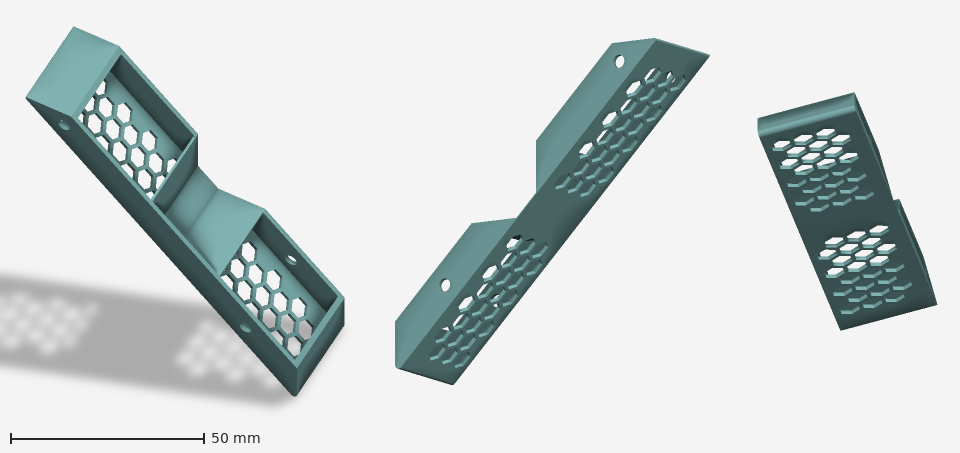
import cadquery as cq
import math

length = 79.85
width = 26.0
height = 79.0

top_face_length = 13.5
top_tip_radius = 0.4
bottom_tip_radius = 1.0

wall = 1.3
floor_thickness = 1.0
bay_floor_thickness = 0.2
partition = 0.7
partition_x = 36.7
shelf_end_x = 56.5

pin_diameter = 3.4
first_pin_depth = 5.0
pin_step = 53.35
first_pin_x = 11.4

cell_pitch = 6.0
cell_flats = 4.95
cell_columns = 3
row_count = 19
solid_rows = (8, 9, 10)
first_row_depth = 7.6
even_row_y = -8.55
odd_row_y = -5.5

root2 = math.sqrt(2)
upper_plane = top_face_length + height
under_plane = height - top_tip_radius * root2
floor_plane = under_plane + floor_thickness * root2
bay_floor_plane = under_plane + bay_floor_thickness * root2

inner_y = width / 2 - wall
shelf_z = upper_plane - shelf_end_x
partition_top = upper_plane - partition_x


def at_x(plane, x):
    """Point of a sloped plane at a given x."""
    return (x, plane - x)


def at_z(plane, z):
    """Point of a sloped plane at a given z."""
    return (plane - z, z)


def prism(points, y_from, y_to):
    """Extrude an XZ outline between two Y positions."""
    outline = cq.Workplane("XZ", origin=(0, y_to, 0)).polyline(points).close()
    return outline.extrude(y_to - y_from)


def round_edge(body, corner, radius):
    """Round the edge running along Y through an XZ corner."""
    nearest = cq.selectors.NearestToPointSelector((corner[0], 0, corner[1]))
    return body.edges(nearest).fillet(radius)


def make_body():
    """Solid bar with both acute tips rounded."""
    top_tip = at_z(under_plane, height)
    bottom_tip = at_x(under_plane, length)
    body = prism(
        [top_tip, at_z(upper_plane, height), at_x(upper_plane, length), bottom_tip],
        -width / 2,
        width / 2,
    )
    return round_edge(round_edge(body, top_tip, top_tip_radius), bottom_tip, bottom_tip_radius)


def make_upper_pocket():
    """Pocket under the top end, closed below by an upright partition with a level top."""
    roof_z = height - wall
    face_x = partition_x - partition
    points = [
        at_z(upper_plane, roof_z),
        at_z(floor_plane, roof_z),
        at_x(floor_plane, face_x),
        (face_x, partition_top),
        (partition_x, partition_top),
    ]
    return prism(points, -inner_y, inner_y)


def make_lower_pocket():
    """Pocket at the lower end, roofed by a level shelf."""
    shelf_underside = shelf_z - partition
    end_x = length - wall
    points = [
        (shelf_end_x, shelf_z),
        (shelf_end_x, shelf_underside),
        at_z(floor_plane, shelf_underside),
        at_x(floor_plane, end_x),
        at_x(upper_plane, end_x),
    ]
    return prism(points, -inner_y, inner_y)


def make_bay():
    """Bay between partition and shelf, open through the +Y side."""
    points = [
        (partition_x, partition_top),
        at_x(bay_floor_plane, partition_x),
        at_z(bay_floor_plane, shelf_z),
        (shelf_end_x, shelf_z),
    ]
    return prism(points, -inner_y, width / 2)


def make_pin_holes():
    """Round holes across the full width, spaced along the slope."""
    centres = [
        (first_pin_x + step, height - first_pin_depth - step)
        for step in (0, pin_step)
    ]
    holes = cq.Workplane("XZ", origin=(0, width / 2, 0)).pushPoints(centres)
    return holes.circle(pin_diameter / 2).extrude(width)


def make_grille():
    """Hexagonal cells through the pocket floors, square to the slope."""
    row_pitch = cell_pitch * math.sqrt(3) / 2
    first_x, first_z = at_z(under_plane, height - first_row_depth)
    slope = cq.Plane(origin=(first_x, 0, first_z), xDir=(1, 0, -1), normal=(1, 0, 1))
    centres = []
    for row in range(row_count):
        if row in solid_rows:
            continue
        row_y = odd_row_y if row % 2 else even_row_y
        for column in range(cell_columns):
            centres.append((row * row_pitch, row_y + column * cell_pitch))
    cell_corners = cell_flats * 2 / math.sqrt(3)
    cells = cq.Workplane(slope).pushPoints(centres).polygon(6, cell_corners)
    return cells.extrude(floor_thickness)


result = make_body()
for cutter in (make_upper_pocket(), make_lower_pocket(), make_bay(), make_pin_holes(), make_grille()):
    result = result.cut(cutter)